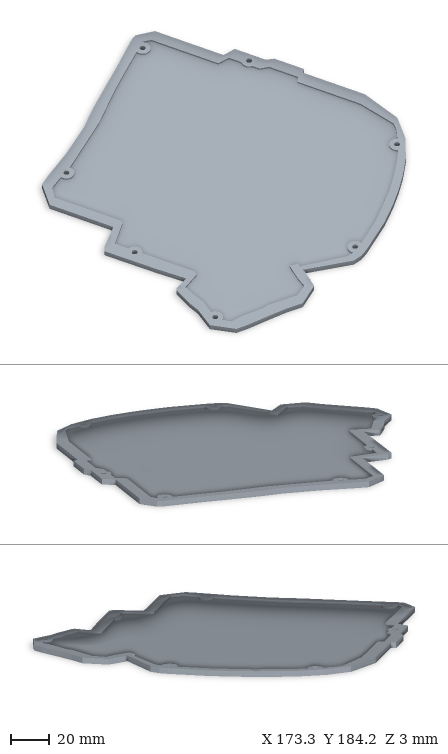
import cadquery as cq


WIDTH = 173.31
LENGTH = 184.2
THICKNESS = 3.0
TRAY_DEPTH = 1.0

SCREW_HOLE_DIAMETER = 3.0
BOSS_RADIUS = 4.1

LEFT_TOP_Y = 175.2
SHOULDER_Y = 181.6
TRAY_LEFT_TOP_Y = 168.8
TRAY_SHOULDER_Y = 174.6
TRAY_TOP_Y = 177.8

LEFT_BOTTOM_Y = 41.1
TRAY_LEFT_BOTTOM_Y = 46.9
TRAY_MIDDLE_BOTTOM_Y = 30.9

OUTER_TOP = [
    (0.0, 165.6),
    (0.5, 168.2),
    (8.3, LEFT_TOP_Y),
    (47.6, LEFT_TOP_Y),
    (50.8, SHOULDER_Y),
    (68.6, SHOULDER_Y),
    (72.3, LENGTH),
    (89.1, LENGTH),
    (90.2, SHOULDER_Y),
    (125.3, SHOULDER_Y),
]
OUTER_RIGHT = [
    (147.4, 173.9),
    (157.3, 162.8),
    (163.7, 150.2),
    (167.6, 138.3),
    (170.1, 127.9),
    (171.9, 117.5),
    (WIDTH, 104.6),
    (WIDTH, 83.0),
    (172.8, 78.3),
    (170.8, 73.2),
]
OUTER_THUMB = [
    (149.6, 55.8),
    (151.2, 55.4),
    (159.9, 48.3),
    (159.9, 34.7),
    (154.0, 27.6),
    (148.4, 19.6),
    (141.3, 9.1),
    (136.9, 3.5),
    (123.4, 0.0),
    (113.2, 7.1),
    (106.8, 9.6),
    (97.2, 14.8),
    (96.6, 15.9),
]
OUTER_BOTTOM = [
    (98.2, 24.5),
    (81.5, 23.9),
    (52.0, 23.7),
    (50.5, 26.3),
    (48.6, LEFT_BOTTOM_Y),
    (12.2, LEFT_BOTTOM_Y),
]
OUTER_LEFT = [
    (2.4, 52.5),
    (2.6, 58.9),
    (3.5, 69.3),
    (4.3, 78.1),
    (4.5, 99.0),
    (3.5, 107.0),
    (2.8, 115.5),
    (2.1, 129.6),
    (1.4, 144.7),
    (0.5, 157.6),
]

TRAY_TOP = [
    (5.8, 165.7),
    (9.3, TRAY_LEFT_TOP_Y),
    (47.6, TRAY_LEFT_TOP_Y),
    (50.8, TRAY_SHOULDER_Y),
    (68.4, TRAY_SHOULDER_Y),
    (72.3, TRAY_TOP_Y),
    (88.9, TRAY_TOP_Y),
    (90.0, TRAY_SHOULDER_Y),
    (126.0, TRAY_SHOULDER_Y),
]
TRAY_RIGHT = [
    (147.4, 169.4),
    (150.8, 165.9),
    (153.5, 161.2),
    (157.8, 153.2),
    (160.4, 146.3),
    (163.1, 137.5),
    (166.0, 125.5),
    (167.9, 111.0),
    (168.8, 103.0),
    (168.8, 86.2),
    (167.6, 77.3),
    (166.3, 74.5),
]
TRAY_THUMB = [
    (147.2, 57.4),
    (145.8, 59.0),
    (142.5, 55.4),
    (150.8, 48.9),
    (155.4, 46.0),
    (154.8, 38.5),
    (144.0, 25.5),
    (143.0, 22.8),
    (135.6, 13.2),
    (132.1, 7.1),
    (128.2, 6.4),
    (123.4, 6.4),
    (119.6, 9.0),
    (113.2, 13.5),
    (107.6, 15.6),
    (100.4, 18.9),
]
TRAY_BOTTOM = [
    (101.8, 29.2),
    (99.9, TRAY_MIDDLE_BOTTOM_Y),
    (54.4, TRAY_MIDDLE_BOTTOM_Y),
    (51.6, 46.0),
    (50.7, TRAY_LEFT_BOTTOM_Y),
    (12.2, TRAY_LEFT_BOTTOM_Y),
]
TRAY_LEFT = [
    (8.5, 52.1),
    (8.3, 54.1),
    (9.0, 61.3),
    (10.2, 70.9),
    (10.2, 104.6),
    (8.8, 117.5),
    (7.5, 130.7),
    (6.7, 144.7),
    (6.2, 156.0),
]

SCREW_CENTERS = [
    (61.1, 177.3),
    (7.7, 161.7),
    (155.4, 156.9),
    (167.1, 82.3),
    (10.2, 65.3),
    (66.2, 29.8),
    (123.4, 6.4),
]


def make_plate():
    """Full-thickness plate bounded by the outer outline."""
    outline = OUTER_TOP + OUTER_RIGHT + OUTER_THUMB + OUTER_BOTTOM + OUTER_LEFT
    return cq.Workplane("XY").polyline(outline).close().extrude(THICKNESS)


def make_tray():
    """Volume removed from the top face, with the screw bosses left standing."""
    outline = TRAY_TOP + TRAY_RIGHT + TRAY_THUMB + TRAY_BOTTOM + TRAY_LEFT
    floor = cq.Workplane("XY").workplane(offset=THICKNESS - TRAY_DEPTH)
    tray = floor.polyline(outline).close().extrude(TRAY_DEPTH)
    bosses = floor.pushPoints(SCREW_CENTERS).circle(BOSS_RADIUS).extrude(TRAY_DEPTH)
    return tray.cut(bosses)


def make_screw_holes():
    """Through holes at every boss."""
    holes = cq.Workplane("XY").pushPoints(SCREW_CENTERS)
    return holes.circle(SCREW_HOLE_DIAMETER / 2).extrude(THICKNESS)


result = make_plate().cut(make_tray()).cut(make_screw_holes())